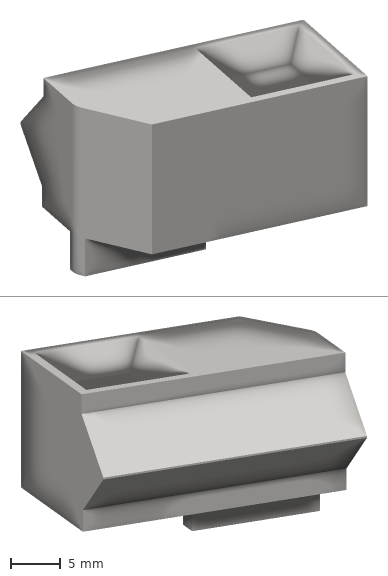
import cadquery as cq
import math

length = 29.25
block_height = 14.55
lower_width = 14.6
upper_width = 14.3

ridge_reach = 19.43
ridge_tip_height = 0.2
lower_step_height = 2.3

slope_depth = 5.0
slope_angle = 35.0
slope_blend_radius = 2.0

fin_thickness = 2.15
fin_length = 14.2
fin_height = 4.25

pocket_wall = 1.0
pocket_length = 11.6
pocket_depth = 3.0
pocket_inset = 2.0


def make_block():
    """Extrude the XZ profile, ridge included, along the whole length."""
    tip_bottom = lower_step_height + ridge_reach - lower_width
    tip_top = tip_bottom + ridge_tip_height
    upper_step_bottom = tip_top + ridge_reach - upper_width
    profile = [
        (0, 0),
        (0, block_height),
        (-upper_width, block_height),
        (-upper_width, upper_step_bottom),
        (-ridge_reach, tip_top),
        (-ridge_reach, tip_bottom),
        (-lower_width, lower_step_height),
        (-lower_width, 0),
    ]
    return cq.Workplane("XZ").polyline(profile).close().extrude(-length)


def make_fin():
    """Thin rib hanging below the block, flush with its front."""
    return (
        cq.Workplane("XY")
        .center(-lower_width / 2, 0)
        .rect(fin_thickness, 2 * fin_length)
        .extrude(-fin_height)
        .intersect(make_plan_envelope())
    )


def make_plan_envelope():
    """Full-height plan outline with the sloped corner and its blended edge."""
    slope_width = slope_depth / math.tan(math.radians(slope_angle))
    outline = [
        (-ridge_reach, 0),
        (-slope_width, 0),
        (0, slope_depth),
        (0, length),
        (-ridge_reach, length),
    ]
    envelope = (
        cq.Workplane("XY")
        .workplane(offset=-fin_height)
        .polyline(outline)
        .close()
        .extrude(fin_height + block_height)
    )
    blend_point = (-slope_width, 0, block_height / 2)
    blend_edge = cq.selectors.NearestToPointSelector(blend_point)
    return envelope.edges("|Z").edges(blend_edge).fillet(slope_blend_radius)


def make_pocket():
    """Rectangular pocket whose four walls lean inward towards its floor."""
    mouth_width = upper_width - 2 * pocket_wall
    return (
        cq.Workplane("XY")
        .workplane(offset=block_height)
        .center(-upper_width / 2, length - pocket_wall - pocket_length / 2)
        .rect(mouth_width, pocket_length)
        .workplane(offset=-pocket_depth)
        .rect(mouth_width - 2 * pocket_inset, pocket_length - 2 * pocket_inset)
        .loft(ruled=True)
    )


result = make_block().intersect(make_plan_envelope()).union(make_fin()).cut(make_pocket())